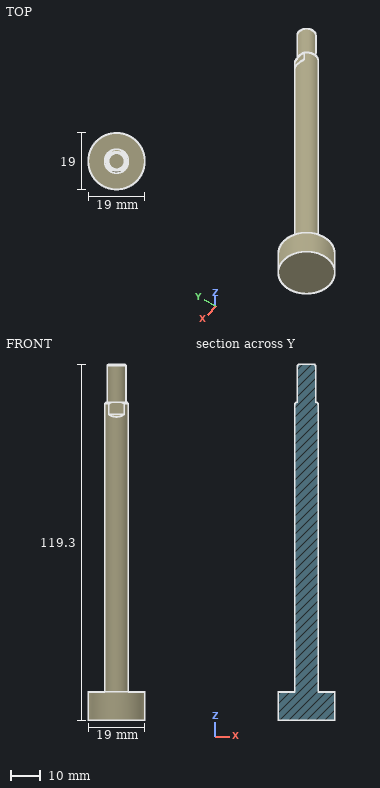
import cadquery as cq

total_length = 119.27
head_diameter = 19.02
head_height = 9.53
shank_diameter = 8.0
pin_diameter = 6.35
pin_length = 12.7
pin_chamfer = 0.5
shoulder_chamfer = 0.6
across_flats = 6.0
flat_length = 4.0

shoulder_z = total_length - pin_length
flat_bottom_z = shoulder_z - flat_length


def make_head():
    """Plain round head standing on the XY plane."""
    return cq.Workplane("XY").circle(head_diameter / 2).extrude(head_height)


def make_shank():
    """Round shank from the base of the head up to the chamfered shoulder."""
    shank = cq.Workplane("XY").circle(shank_diameter / 2).extrude(shoulder_z)
    return shank.faces(">Z").chamfer(shoulder_chamfer)


def make_pin():
    """Reduced end pin above the shoulder, chamfered at its tip."""
    pin = cq.Workplane("XY").workplane(offset=shoulder_z).circle(pin_diameter / 2).extrude(pin_length)
    return pin.faces(">Z").chamfer(pin_chamfer)


def make_flat_cutter(side):
    """Prism that cuts one wrench flat, with a 45 degree run-out, on the given Y side (+1 or -1)."""
    flat_y = across_flats / 2
    outer_y = shank_diameter / 2
    runout_z = flat_bottom_z - (outer_y - flat_y)
    outline = [
        (side * flat_y, flat_bottom_z),
        (side * outer_y, runout_z),
        (side * outer_y, shoulder_z),
        (side * flat_y, shoulder_z),
    ]
    return cq.Workplane("YZ").polyline(outline).close().extrude(shank_diameter / 2, both=True)


shank = make_shank()
for side in (-1, 1):
    shank = shank.cut(make_flat_cutter(side))

result = make_head().union(shank).union(make_pin())